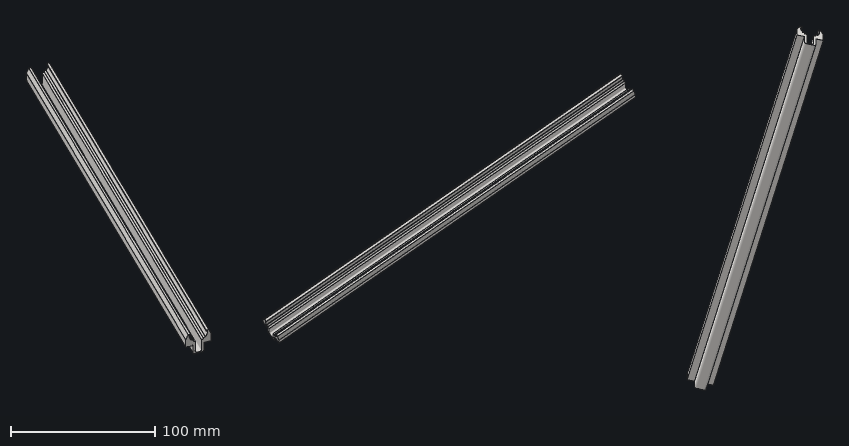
import math

import cadquery as cq

LENGTH = 304.8
WIDTH = 19.0
HEIGHT = 19.0

CHANNEL_WIDTH = 8.3
SLOT_WIDTH = 4.5
FLOOR_THICKNESS = 1.0
OUTER_CORNER_RADIUS = 1.4
INNER_CORNER_RADIUS = 1.1

SHOULDER_Z = 8.0
JAW_BASE_Z = 15.0
LIP_OUTER_Y = 7.65
LIP_INNER_Y = 5.75
LIP_NOSE_HEIGHT = 0.7

CRADLE_RADIUS = 6.75
CRADLE_CENTER_Z = 17.5
CRADLE_TOP_ANGLE = 90.0
PAD_THICKNESS = 0.4
PAD_LOWER_ANGLE = 34.0
PAD_UPPER_ANGLE = 50.0


def cradle_point(radius, angle):
    """(Y, Z) at an angle in degrees from straight down, about the cradle axis."""
    a = math.radians(angle)
    return (radius * math.sin(a), CRADLE_CENTER_Z - radius * math.cos(a))


def cradle_arc(outline, radius, start_angle, end_angle):
    """Add an arc about the cradle axis, from the current point to end_angle."""
    middle = cradle_point(radius, (start_angle + end_angle) / 2)
    return outline.threePointArc(middle, cradle_point(radius, end_angle))


def half_profile():
    """Closed outline of the +Y half of the cross section, in the YZ plane."""
    pad_radius = CRADLE_RADIUS - PAD_THICKNESS
    nose_z = HEIGHT - LIP_NOSE_HEIGHT
    slot_angle = math.degrees(math.asin(SLOT_WIDTH / 2 / CRADLE_RADIUS))

    outline = (
        cq.Workplane("YZ")
        .moveTo(0, 0)
        .lineTo(CHANNEL_WIDTH / 2, 0)
        .lineTo(CHANNEL_WIDTH / 2, SHOULDER_Z)
        .lineTo(WIDTH / 2, SHOULDER_Z)
        .lineTo(WIDTH / 2, JAW_BASE_Z)
        .lineTo(LIP_OUTER_Y, HEIGHT)
        .lineTo(LIP_INNER_Y, HEIGHT)
        .lineTo(LIP_INNER_Y, nose_z)
        .lineTo(*cradle_point(CRADLE_RADIUS, CRADLE_TOP_ANGLE))
    )
    outline = cradle_arc(outline, CRADLE_RADIUS, CRADLE_TOP_ANGLE, PAD_UPPER_ANGLE)
    outline = outline.lineTo(*cradle_point(pad_radius, PAD_UPPER_ANGLE))
    outline = cradle_arc(outline, pad_radius, PAD_UPPER_ANGLE, PAD_LOWER_ANGLE)
    outline = outline.lineTo(*cradle_point(CRADLE_RADIUS, PAD_LOWER_ANGLE))
    outline = cradle_arc(outline, CRADLE_RADIUS, PAD_LOWER_ANGLE, slot_angle)
    return (
        outline
        .lineTo(SLOT_WIDTH / 2, FLOOR_THICKNESS + INNER_CORNER_RADIUS)
        .radiusArc((SLOT_WIDTH / 2 - INNER_CORNER_RADIUS, FLOOR_THICKNESS), INNER_CORNER_RADIUS)
        .lineTo(0, FLOOR_THICKNESS)
        .close()
    )


def make_rail():
    """Mirrored cross section run along X, with the lower outside edges rounded."""
    half = half_profile().extrude(LENGTH / 2, both=True)
    rail = half.union(half.mirror("XZ"))
    return rail.edges("|X and <Z").fillet(OUTER_CORNER_RADIUS)


result = make_rail()